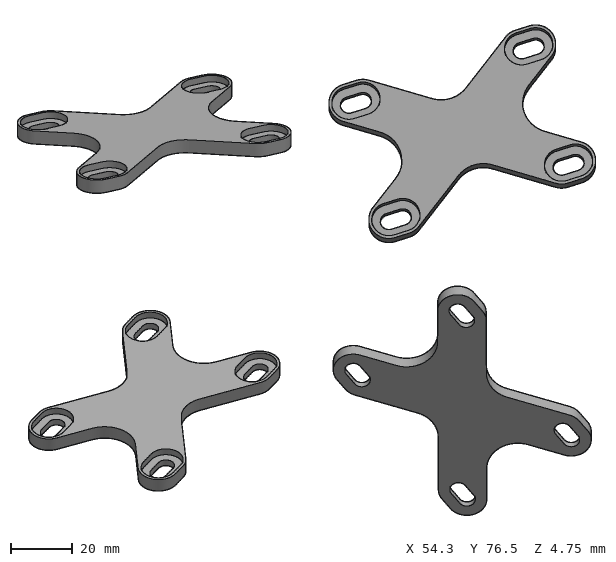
import cadquery as cq
import math

length = 76.5
width = 54.3
thickness = 4.75
end_radius = 6.5
crotch_radius = 10.0
slot_travel = 4.75
slot_width = 5.5
recess_width = 11.1
recess_depth = 2.4

slot_x = width / 2 - end_radius
slot_y = length / 2 - end_radius - slot_travel / 2
slot_centres = [(sx * slot_x, sy * slot_y) for sx in (-1, 1) for sy in (-1, 1)]
arm_angle = math.atan2(slot_x, slot_y)


def arm(centre_x, centre_y):
    """Arm with sides parallel to its diagonal and a slot-shaped outer end."""
    side_x = math.copysign(1, centre_x)
    side_y = math.copysign(1, centre_y)
    across = end_radius * math.cos(arm_angle)
    along = end_radius * math.sin(arm_angle)
    half_travel = slot_travel / 2
    tip_y = slot_y + half_travel
    heel_y = slot_y - half_travel
    diagonal = end_radius * math.sqrt(0.5)

    def place(x, y):
        return side_x * x, side_y * y

    return (
        cq.Workplane("XY")
        .moveTo(*place(-across, half_travel + along))
        .lineTo(*place(slot_x - across, tip_y + along))
        .threePointArc(
            place(slot_x + diagonal, tip_y + diagonal),
            place(slot_x + end_radius, tip_y),
        )
        .lineTo(*place(slot_x + end_radius, heel_y))
        .threePointArc(
            place(
                slot_x + end_radius * math.cos(arm_angle / 2),
                heel_y - end_radius * math.sin(arm_angle / 2),
            ),
            place(slot_x + across, heel_y - along),
        )
        .lineTo(*place(across, -half_travel - along))
        .close()
        .extrude(thickness)
    )


def slots(slot_size, bottom, depth):
    """Slot cutters along Y at all four arm ends."""
    return (
        cq.Workplane("XY")
        .workplane(offset=bottom)
        .pushPoints(slot_centres)
        .slot2D(slot_travel + slot_size, slot_size, 90)
        .extrude(depth)
    )


plate = arm(*slot_centres[0])
for slot_centre in slot_centres[1:]:
    plate = plate.union(arm(*slot_centre))
plate = plate.clean()

corner_x = end_radius / math.cos(arm_angle) + slot_travel / 2 * math.tan(arm_angle)
corner_y = end_radius / math.sin(arm_angle) + slot_travel / 2
for corner in ((corner_x, 0), (-corner_x, 0), (0, corner_y), (0, -corner_y)):
    inner_edge = cq.selectors.NearestToPointSelector((*corner, thickness / 2))
    plate = plate.edges("|Z").edges(inner_edge).fillet(crotch_radius)

plate = plate.cut(slots(slot_width, 0, thickness))
result = plate.cut(slots(recess_width, thickness - recess_depth, recess_depth))